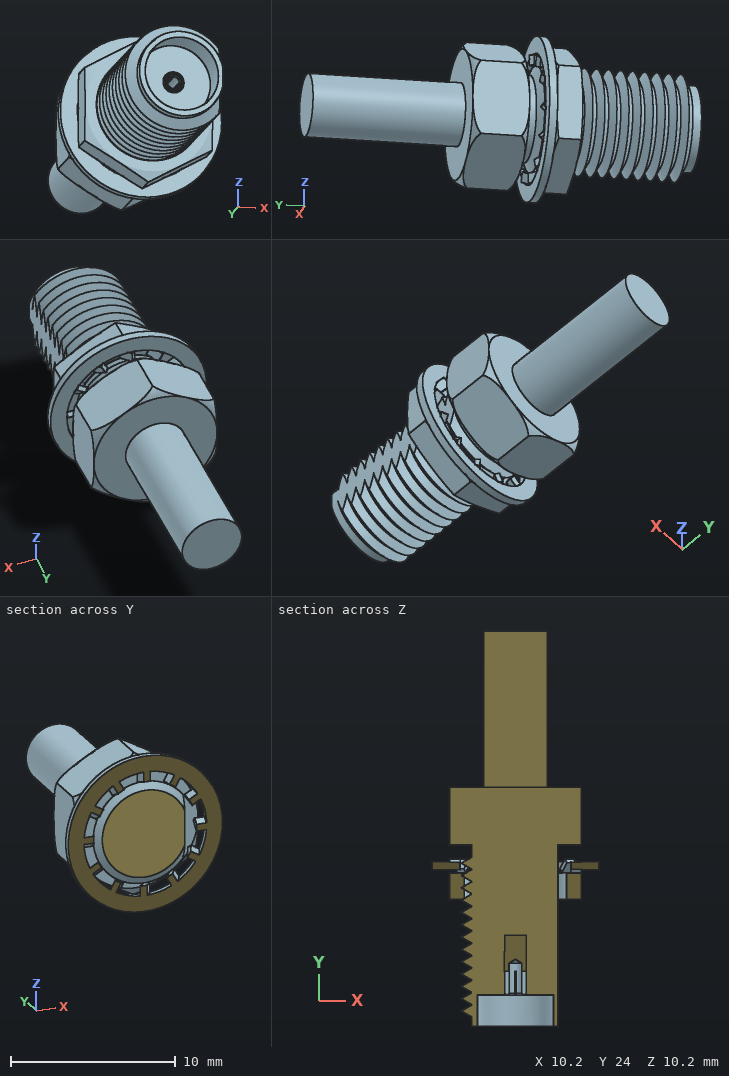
import cadquery as cq
import math


total_length = 24.0

root_radius = 2.66
crest_radius = 3.3
thread_start = 0.55
thread_length = 9.72
thread_turns = 13
thread_pitch = thread_length / thread_turns
flat_offset = 2.6
socket_radius = 2.3
socket_depth = 1.9

across_flats = 8.02
corner_radius = across_flats / 2 / math.cos(math.pi / 6)
hex_start = 11.0
hex_length = 3.53
hex_end = hex_start + hex_length
hex_face_radius = across_flats / 2
hex_shoulder_length = 0.5
hex_shoulder_crown = 0.07

nut_start = 7.68
nut_length = 1.63
nut_end = nut_start + nut_length
nut_bore_radius = 3.1
nut_chamfer_length = 0.12
nut_face_radius = 3.95

washer_diameter = 10.15
washer_radius = washer_diameter / 2
washer_inner_radius = 4.0
washer_thickness = 0.5
tooth_count = 12
tooth_inner_radius = 3.35
tooth_width = 0.86
tooth_thickness = 0.34
tooth_twist = 45.0
tooth_half_height = (tooth_width + tooth_thickness) / 2 * math.sin(math.radians(tooth_twist))
washer_middle = nut_end + tooth_half_height

ferrule_radius = 1.95

contact_radius = 0.65
contact_length = 3.6
contact_chamfer = 0.1
contact_bore_radius = 0.38
contact_bore_depth = 1.92
drill_tip_length = 0.25
slot_width = 0.07
slot_depth = 1.45


def revolve(outline):
    """Turn an outline of (Y, radius) points about the Y axis."""
    return cq.Workplane("YZ").polyline(outline).close().revolve(360, (0, 0, 0), (1, 0, 0))


def cylinder(radius, start, length):
    """Cylinder on the Y axis, running from start towards +Y."""
    return cq.Workplane("XZ", origin=(0, start, 0)).circle(radius).extrude(-length)


def hexagon(start, length):
    """Hexagonal prism with corners at +Z and -Z."""
    prism = cq.Workplane("XZ", origin=(0, start, 0)).polygon(6, 2 * corner_radius).extrude(-length)
    return prism.rotate((0, 0, 0), (0, 1, 0), 90)


def make_rear_hexagon():
    """Hexagon turned down at both ends to crowned shoulders."""
    turned_blank = (
        cq.Workplane("YZ")
        .moveTo(hex_start, 0)
        .lineTo(hex_start, hex_face_radius)
        .sagittaArc((hex_start + hex_shoulder_length, corner_radius), hex_shoulder_crown)
        .lineTo(hex_end - hex_shoulder_length, corner_radius)
        .sagittaArc((hex_end, hex_face_radius), hex_shoulder_crown)
        .lineTo(hex_end, 0)
        .close()
        .revolve(360, (0, 0, 0), (1, 0, 0))
    )
    return hexagon(hex_start, hex_length).intersect(turned_blank)


def make_threaded_barrel():
    """Barrel with V-shaped thread ridges and one flat along its +X side."""
    outline = [(0, 0), (0, root_radius), (thread_start, root_radius)]
    for turn in range(thread_turns):
        ridge_start = thread_start + turn * thread_pitch
        outline.append((ridge_start + thread_pitch / 2, crest_radius))
        outline.append((ridge_start + thread_pitch, root_radius))
    outline += [(hex_start, root_radius), (hex_start, 0)]
    flat_waste = cq.Workplane("XY").box(
        crest_radius, hex_start, 2 * crest_radius, centered=(False, False, True)
    )
    return revolve(outline).cut(flat_waste.translate((flat_offset, 0, 0)))


def make_body():
    """Threaded barrel and rear hexagon, with the mating socket and the contact's hole."""
    body = make_threaded_barrel().union(make_rear_hexagon())
    body = body.cut(cylinder(socket_radius, 0, socket_depth))
    return body.cut(cylinder(contact_radius, socket_depth, contact_length))


def make_nut(thread):
    """Hexagonal nut with coned end faces and a bore cut to fit the thread."""
    turned_blank = revolve([
        (nut_start, 0),
        (nut_start, nut_face_radius),
        (nut_start + nut_chamfer_length, corner_radius),
        (nut_end - nut_chamfer_length, corner_radius),
        (nut_end, nut_face_radius),
        (nut_end, 0),
    ])
    nut = hexagon(nut_start, nut_length).intersect(turned_blank)
    nut = nut.cut(cylinder(nut_bore_radius, nut_start, nut_length))
    return nut.cut(thread)


def make_tooth():
    """One twisted washer tooth on the +X side, ending at the washer ring."""
    reach = washer_radius - tooth_inner_radius
    blade = (
        cq.Workplane("XY")
        .box(reach, tooth_thickness, tooth_width)
        .rotate((0, 0, 0), (1, 0, 0), -tooth_twist)
        .translate((tooth_inner_radius + reach / 2, washer_middle, 0))
    )
    tooth_start = washer_middle - tooth_half_height
    return blade.intersect(cylinder(washer_inner_radius, tooth_start, 2 * tooth_half_height))


def make_washer():
    """Flat ring with twisted teeth pointing inwards, clear of the thread crests."""
    ring_start = washer_middle - washer_thickness / 2
    washer = cylinder(washer_radius, ring_start, washer_thickness)
    washer = washer.cut(cylinder(washer_inner_radius, ring_start, washer_thickness))
    tooth = make_tooth()
    tooth_spacing = 360 / tooth_count
    for index in range(tooth_count):
        angle = index * tooth_spacing
        washer = washer.union(tooth.rotate((0, 0, 0), (0, 1, 0), angle))
    return washer


def make_ferrule():
    """Plain cylindrical sleeve behind the hexagon."""
    return cylinder(ferrule_radius, hex_end, total_length - hex_end)


def make_contact():
    """Centre contact, flush with the socket floor, with a drilled and cross-slotted tip."""
    tip = socket_depth
    bore_end = tip + contact_bore_depth
    contact = revolve([
        (tip + contact_chamfer, contact_bore_radius),
        (tip, contact_bore_radius + contact_chamfer),
        (tip, contact_radius - contact_chamfer),
        (tip + contact_chamfer, contact_radius),
        (tip + contact_length, contact_radius),
        (tip + contact_length, 0),
        (bore_end + drill_tip_length, 0),
        (bore_end, contact_bore_radius),
    ])
    slot = cq.Workplane("XY").box(
        2 * contact_radius, slot_depth, slot_width, centered=(True, False, True)
    ).translate((0, tip, 0))
    for angle in (0, 90):
        contact = contact.cut(slot.rotate((0, 0, 0), (0, 1, 0), angle))
    return contact


barrel = make_threaded_barrel()
body = make_body()
nut = make_nut(barrel)
washer = make_washer()
ferrule = make_ferrule()
contact = make_contact()

result = cq.Compound.makeCompound([
    body.solids().val(),
    nut.solids().val(),
    washer.solids().val(),
    ferrule.solids().val(),
    contact.solids().val(),
])